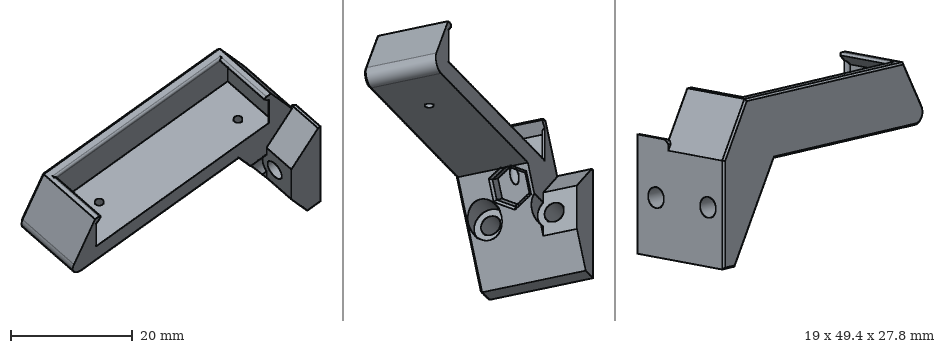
import cadquery as cq
import math

LENGTH = 49.4
HEIGHT = 27.8
ARM_WIDTH = 12.95
FOOT_WIDTH = 19.0
ARM_BOTTOM = 16.75
FOOT_DEPTH = 2.95
BACK_TOP_DEPTH = 5.5
NOSE_RADIUS = 2.0
SIDE_CHAMFER = 0.35
SLOPE = 60.0
RISE = math.tan(math.radians(SLOPE))

TAB_TOP = 20.05
TAB_LEDGE = 0.55
TAB_DEPTH = 6.45
TAB_START = 12.2
TAB_CHAMFER = 0.7

TRAY_FLOOR = 20.35
TRAY_BACK = 5.2
TRAY_CENTER = 25.05
RIM_BACK = 6.45
RIM_SIDE = 1.55
RIM_ROUND = 0.45
EDGE_BEAD_RADIUS = 0.7

SCREW_DIAMETER = 3.5
HEAD_DIAMETER = 6.0
SCREW_HEIGHT = 10.05
SCREW_XS = (3.45, 14.9)
PIN_DIAMETER = 1.5
PIN_POSITIONS = ((9.0, 9.25), (6.45, 37.7))

NUT_X = 9.0
NUT_HEIGHT = 13.95
NUT_FLATS = 5.9
NUT_DEPTH = 2.95
NUT_CHAMFER = 0.45


def side_profile(points, start, end):
    """Extrude an outline of (depth, height) points from X = start to X = end."""
    outline = [(-depth, height) for depth, height in points]
    return cq.Workplane("YZ").workplane(offset=start).polyline(outline).close().extrude(end - start)


def bracket_body():
    knee = FOOT_DEPTH + ARM_BOTTOM / RISE
    nose_slant = math.radians(90 - SLOPE)
    tangent_depth = LENGTH - NOSE_RADIUS * (1 - math.cos(nose_slant))
    tangent_height = ARM_BOTTOM + NOSE_RADIUS * (1 + math.sin(nose_slant))
    nose_corner = tangent_depth + (tangent_height - ARM_BOTTOM) / RISE
    front_top = nose_corner - (HEIGHT - ARM_BOTTOM) / RISE
    body = side_profile(
        [
            (0, 0),
            (FOOT_DEPTH, 0),
            (knee, ARM_BOTTOM),
            (nose_corner, ARM_BOTTOM),
            (front_top, HEIGHT),
            (BACK_TOP_DEPTH, HEIGHT),
            (0, HEIGHT - BACK_TOP_DEPTH * RISE),
        ],
        0,
        ARM_WIDTH,
    )
    nose = cq.selectors.NearestToPointSelector((ARM_WIDTH / 2, -nose_corner, ARM_BOTTOM))
    body = body.edges(nose).fillet(NOSE_RADIUS)
    return body.faces("<X").chamfer(SIDE_CHAMFER)


def mounting_tab():
    face_bottom = (TAB_DEPTH - FOOT_DEPTH) * RISE
    face_top = TAB_TOP - (TAB_DEPTH - TAB_LEDGE)
    tab = side_profile(
        [
            (0, 0),
            (FOOT_DEPTH, 0),
            (TAB_DEPTH, face_bottom),
            (TAB_DEPTH, face_top),
            (TAB_LEDGE, TAB_TOP),
            (0, TAB_TOP),
        ],
        TAB_START,
        FOOT_WIDTH,
    )
    return tab.faces(">Z").edges("<X").chamfer(TAB_CHAMFER)


def tray_cut():
    """Tray open toward +X, with a rounded rim overhanging both end walls at 45 degrees."""
    lip = RIM_BACK + RIM_ROUND
    lip_height = HEIGHT - RIM_ROUND
    wall_top = lip_height - (lip - TRAY_BACK)
    round_shift = RIM_ROUND * math.sqrt(0.5)
    arc_middle = (RIM_BACK + round_shift, lip_height + round_shift)

    def mirrored(depth):
        return 2 * TRAY_CENTER - depth

    side = RIM_SIDE + RIM_ROUND
    tray = (
        cq.Workplane("YZ")
        .workplane(offset=side)
        .moveTo(-TRAY_BACK, TRAY_FLOOR)
        .lineTo(-TRAY_BACK, wall_top)
        .lineTo(-lip, lip_height)
        .threePointArc((-arc_middle[0], arc_middle[1]), (-RIM_BACK, HEIGHT))
        .lineTo(-mirrored(RIM_BACK), HEIGHT)
        .threePointArc((-mirrored(arc_middle[0]), arc_middle[1]), (-mirrored(lip), lip_height))
        .lineTo(-mirrored(TRAY_BACK), wall_top)
        .lineTo(-mirrored(TRAY_BACK), TRAY_FLOOR)
        .close()
        .extrude(ARM_WIDTH - side)
    )
    side_round = (
        cq.Workplane("XZ", origin=(0, -RIM_BACK, 0))
        .moveTo(RIM_SIDE, HEIGHT)
        .threePointArc((RIM_SIDE + round_shift, arc_middle[1]), (side, lip_height))
        .lineTo(side, HEIGHT)
        .close()
        .extrude(mirrored(RIM_BACK) - RIM_BACK)
    )
    return tray.union(side_round)


def edge_beads():
    """Upright quarter-round beads where the tray's end walls meet its open side."""
    depths = (TRAY_BACK, 2 * TRAY_CENTER - TRAY_BACK)
    corners = [(ARM_WIDTH, -depth) for depth in depths]
    underside_height = HEIGHT - RIM_ROUND - (RIM_BACK + RIM_ROUND - TRAY_BACK)
    bead_height = underside_height + EDGE_BEAD_RADIUS - TRAY_FLOOR
    beads = (
        cq.Workplane("XY", origin=(0, 0, TRAY_FLOOR))
        .pushPoints(corners)
        .circle(EDGE_BEAD_RADIUS)
        .extrude(bead_height)
    )
    return beads.intersect(tray_cut())


def screw_cuts():
    centers = [(x, SCREW_HEIGHT) for x in SCREW_XS]
    holes = cq.Workplane("XZ").pushPoints(centers).circle(SCREW_DIAMETER / 2).extrude(LENGTH)
    heads = (
        cq.Workplane("XZ", origin=(0, -TAB_DEPTH, 0))
        .pushPoints(centers)
        .circle(HEAD_DIAMETER / 2)
        .extrude(TAB_DEPTH)
    )
    return holes.union(heads)


def pin_cuts():
    centers = [(x, -depth) for x, depth in PIN_POSITIONS]
    return (
        cq.Workplane("XY", origin=(0, 0, ARM_BOTTOM - NUT_DEPTH / 2))
        .pushPoints(centers)
        .circle(PIN_DIAMETER / 2)
        .extrude(HEIGHT - ARM_BOTTOM)
    )


def nut_cut():
    slope = math.radians(SLOPE)
    inward = cq.Vector(0, math.sin(slope), math.cos(slope))
    center = cq.Vector(NUT_X, -FOOT_DEPTH - NUT_HEIGHT / RISE, NUT_HEIGHT)
    plane = cq.Plane(origin=center, xDir=(0, -math.cos(slope), math.sin(slope)), normal=inward)
    flat_to_corner = math.cos(math.pi / 6)
    corner_diameter = NUT_FLATS / flat_to_corner
    mouth_diameter = (NUT_FLATS + 2 * NUT_CHAMFER) / flat_to_corner
    pocket = cq.Workplane(plane).polygon(6, corner_diameter).extrude(NUT_DEPTH)
    mouth = (
        cq.Workplane(plane)
        .polygon(6, mouth_diameter)
        .workplane(offset=NUT_CHAMFER)
        .polygon(6, corner_diameter)
        .loft(ruled=True)
    )
    return pocket.union(mouth)


result = (
    bracket_body()
    .union(mounting_tab())
    .cut(tray_cut())
    .union(edge_beads())
    .cut(screw_cuts())
    .cut(pin_cuts())
    .cut(nut_cut())
)